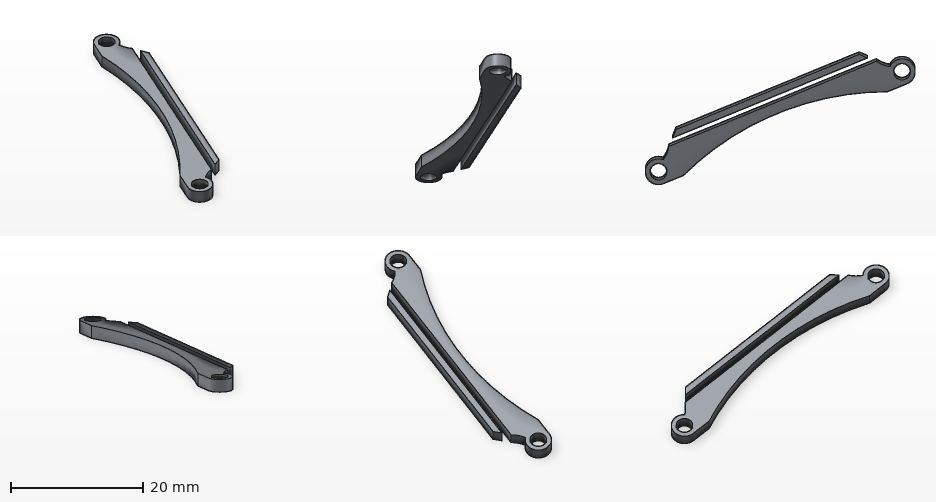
import cadquery as cq
import math

thickness = 2.0

overall_length = 44.0
ear_diameter = 4.0
ear_radius = ear_diameter / 2
hole_center_x = overall_length / 2 - ear_radius
hole_diameter = 2.5
link_height = 5.0
top_half_length = 17.05
notch_x = 18.6
shoulder_sag = 0.15
arch_half_span = 16.75
arch_rise = 3.35

strip_bottom_y = 6.0
strip_top_y = 7.0
strip_bottom_half_length = 16.0
strip_top_half_length = 15.05

notch_y = ear_radius + math.sqrt(ear_radius**2 - (hole_center_x - notch_x) ** 2)

shoulder_run = notch_x - top_half_length
shoulder_drop = link_height - notch_y
shoulder_chord = math.hypot(shoulder_run, shoulder_drop)
shoulder_mid_x = (notch_x + top_half_length) / 2 - shoulder_sag * shoulder_drop / shoulder_chord
shoulder_mid_y = (notch_y + link_height) / 2 - shoulder_sag * shoulder_run / shoulder_chord


def make_link():
    """Arched plate with a drilled round ear at each end."""
    ear_end_x = overall_length / 2
    outline = (
        cq.Workplane("XY")
        .moveTo(-arch_half_span, 0)
        .threePointArc((0, arch_rise), (arch_half_span, 0))
        .lineTo(hole_center_x, 0)
        .threePointArc((ear_end_x, ear_radius), (notch_x, notch_y))
        .threePointArc((shoulder_mid_x, shoulder_mid_y), (top_half_length, link_height))
        .lineTo(-top_half_length, link_height)
        .threePointArc((-shoulder_mid_x, shoulder_mid_y), (-notch_x, notch_y))
        .threePointArc((-ear_end_x, ear_radius), (-hole_center_x, 0))
        .close()
    )
    holes = (
        cq.Workplane("XY")
        .pushPoints([(side * hole_center_x, ear_radius) for side in (-1, 1)])
        .circle(hole_diameter / 2)
        .extrude(thickness)
    )
    return outline.extrude(thickness).cut(holes)


def make_strip():
    """Thin straight strip with slanted ends."""
    corners = [
        (-strip_bottom_half_length, strip_bottom_y),
        (strip_bottom_half_length, strip_bottom_y),
        (strip_top_half_length, strip_top_y),
        (-strip_top_half_length, strip_top_y),
    ]
    return cq.Workplane("XY").polyline(corners).close().extrude(thickness)


link = make_link()
strip = make_strip()

result = cq.Compound.makeCompound([link.val(), strip.val()])